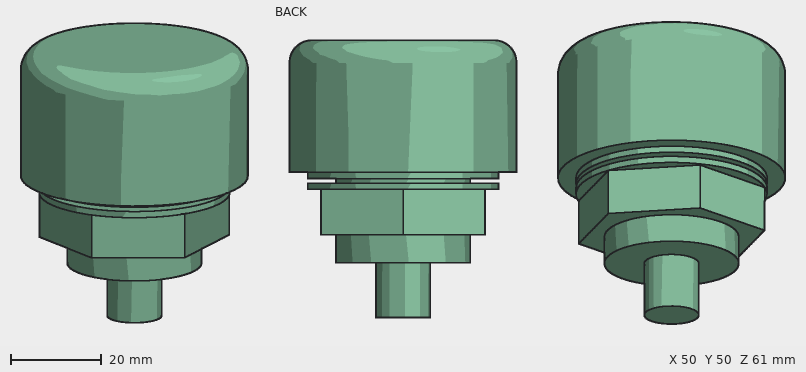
import cadquery as cq

stem_diameter = 12.0
thread_diameter = 29.6
flange_diameter = 42.0
body_diameter = 50.0
body_edge_radius = 5.0

total_height = 61.0
stem_length = 12.0
nut_bottom = 18.2
nut_height = 10.0
washer_thickness = 1.4
gap_height = 1.0
flange_thickness = 1.4

nut_top = nut_bottom + nut_height
washer_top = nut_top + washer_thickness
flange_bottom = washer_top + gap_height
body_bottom = flange_bottom + flange_thickness

nut_width = 36.1
nut_corner_span = 40.5
nut_flat_length = 21.1


def disc(diameter, bottom, top):
    """Solid cylinder on the Z axis between two levels."""
    return cq.Workplane("XY").workplane(offset=bottom).circle(diameter / 2).extrude(top - bottom)


def hex_nut():
    side_x = nut_width / 2
    side_y = nut_flat_length / 2
    tip_y = nut_corner_span / 2
    outline = [
        (side_x, -side_y),
        (side_x, side_y),
        (0, tip_y),
        (-side_x, side_y),
        (-side_x, -side_y),
        (0, -tip_y),
    ]
    return cq.Workplane("XY").workplane(offset=nut_bottom).polyline(outline).close().extrude(nut_height)


stem = disc(stem_diameter, 0, stem_length)
thread = disc(thread_diameter, stem_length, body_bottom)
washer = disc(flange_diameter, nut_top, washer_top)
flange = disc(flange_diameter, flange_bottom, body_bottom)
body = disc(body_diameter, body_bottom, total_height).faces(">Z").edges().fillet(body_edge_radius)

result = stem.union(thread).union(hex_nut()).union(washer).union(flange).union(body)